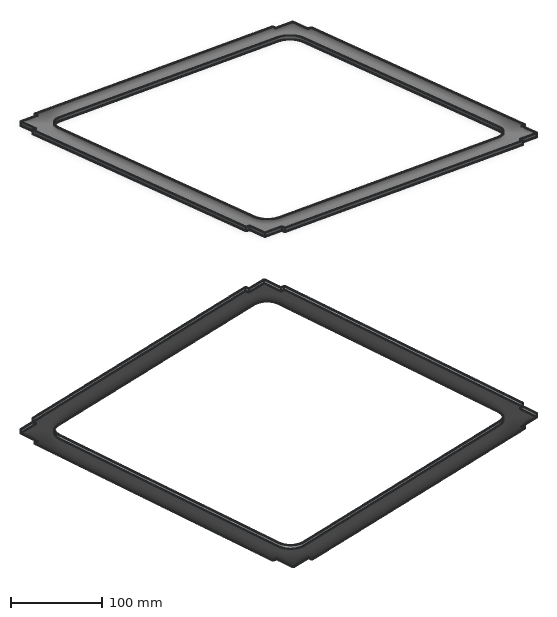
import cadquery as cq

thickness = 5.0
body_side = 400.0
tab_depth = thickness
tab_length = 350.0
rim_width = 20.0
window_radius = 20.0

overall_side = body_side + 2 * tab_depth
window_side = body_side - 2 * rim_width


def centred_plate(size_x, size_y):
    """Plate centred on the Z axis and resting on Z = 0."""
    return cq.Workplane("XY").rect(size_x, size_y).extrude(thickness)


def frame_blank():
    """Square body with a long tab projecting from each of its four edges."""
    body = centred_plate(body_side, body_side)
    tabs_x = centred_plate(overall_side, tab_length)
    tabs_y = centred_plate(tab_length, overall_side)
    return body.union(tabs_x).union(tabs_y)


def window():
    """Square opening with rounded corners."""
    return centred_plate(window_side, window_side).edges("|Z").fillet(window_radius)


result = frame_blank().cut(window())